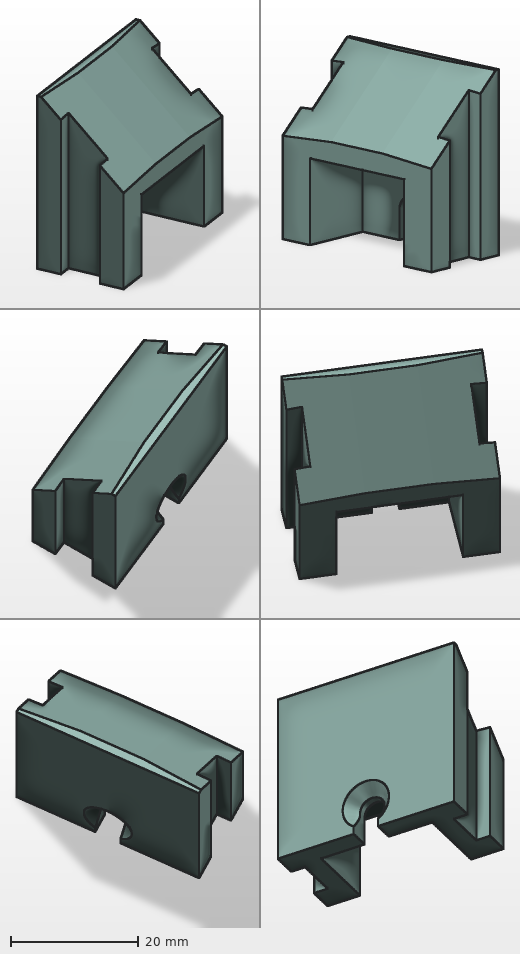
import cadquery as cq
import math

depth = 15.5
width = 32.0
height = 30.0

roof_angle = math.radians(42)
middle_ledge = 1.5
end_ledge = 0.7
middle_strip_width = 11.0

groove_width = 7.0
groove_depth = 2.5

slot_width = 4.4
slot_centre_height = 5.02
countersink_diameter = 8.4
countersink_depth = (countersink_diameter - slot_width) / 2

wall = 3.4
roof_low_edge = height - (depth - middle_ledge) * math.tan(roof_angle)
hollow_width = width - 2 * (groove_depth + wall)
hollow_height = roof_low_edge - wall


def box(x_start, x_length, y_centre, y_width, z_height):
    """Upright box standing on the base plane."""
    return (
        cq.Workplane("XY")
        .box(x_length, y_width, z_height, centered=(False, True, False))
        .translate((x_start, y_centre, 0))
    )


def roof_envelope():
    """Prism running down the slope, whose upper outline is the three-faceted roof."""
    half_width = width / 2
    half_strip = middle_strip_width / 2
    end_drop = (middle_ledge - end_ledge) * math.sin(roof_angle)
    reach = depth + height
    across_slope = cq.Plane(
        origin=(middle_ledge, 0, height),
        xDir=(0, 1, 0),
        normal=(math.cos(roof_angle), 0, -math.sin(roof_angle)),
    )
    outline = [
        (-half_width, -reach),
        (-half_width, -end_drop),
        (-half_strip, 0),
        (half_strip, 0),
        (half_width, -end_drop),
        (half_width, -reach),
    ]
    return cq.Workplane(across_slope).polyline(outline).close().extrude(reach, both=True)


def screw_slot():
    """Round-topped slot through the mounting plate with a conical countersink at X = 0."""
    plate_face = cq.Workplane("YZ").center(0, slot_centre_height)
    round_top = plate_face.circle(slot_width / 2).extrude(wall)
    straight_run = box(0, wall, 0, slot_width, slot_centre_height)
    countersink = cq.Workplane(cq.Solid.makeCone(
        countersink_diameter / 2,
        slot_width / 2,
        countersink_depth,
        pnt=cq.Vector(0, 0, slot_centre_height),
        dir=cq.Vector(1, 0, 0),
    ))
    return round_top.union(straight_run).union(countersink)


body = box(0, depth, 0, width, height).intersect(roof_envelope())

groove_start = (depth - groove_width) / 2
for side in (-1, 1):
    groove_centre = side * (width - groove_depth) / 2
    body = body.cut(box(groove_start, groove_width, groove_centre, groove_depth, height))

body = body.cut(box(wall, depth - wall, 0, hollow_width, hollow_height))
result = body.cut(screw_slot())